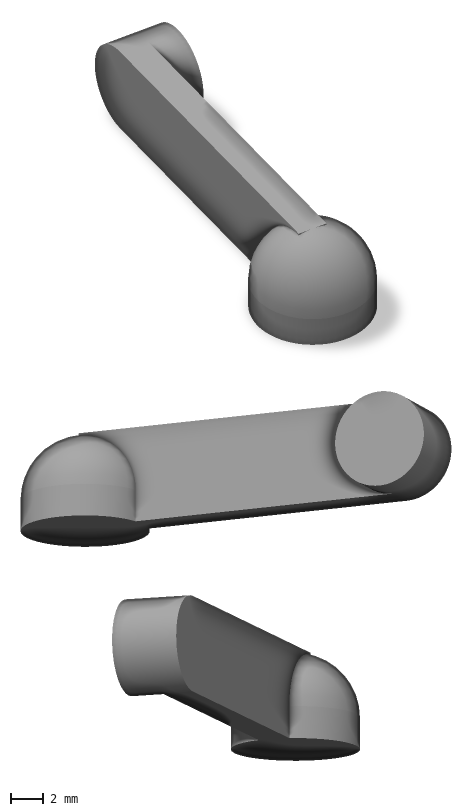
import cadquery as cq

total_length = 28.33
total_height = 6.0
dome_radius = 4.0
arm_thickness = 2.0
boss_length = 2.2

end_radius = total_height / 2
dome_x = total_length - dome_radius
dome_base_height = total_height - dome_radius
arm_back_y = arm_thickness / 2


def make_arm():
    """Flat upright bar from the boss axis to the dome axis."""
    arm_length = dome_x - end_radius
    return (
        cq.Workplane("XY", origin=(end_radius, -arm_back_y, 0))
        .box(arm_length, arm_thickness, total_height, centered=False)
    )


def make_boss():
    """Cylinder that rounds the arm's free end and continues behind it as a boss."""
    return (
        cq.Workplane("XZ", origin=(end_radius, arm_back_y + boss_length, end_radius))
        .circle(end_radius)
        .extrude(arm_thickness + boss_length)
    )


def make_dome():
    """Short upright cylinder capped by a hemisphere of the same radius."""
    base = cq.Workplane("XY", origin=(dome_x, 0, 0)).circle(dome_radius).extrude(dome_base_height)
    hemisphere = cq.Workplane("XY").sphere(dome_radius, angle1=0)
    return base.union(hemisphere.translate((dome_x, 0, dome_base_height)))


result = make_arm().union(make_boss()).union(make_dome())